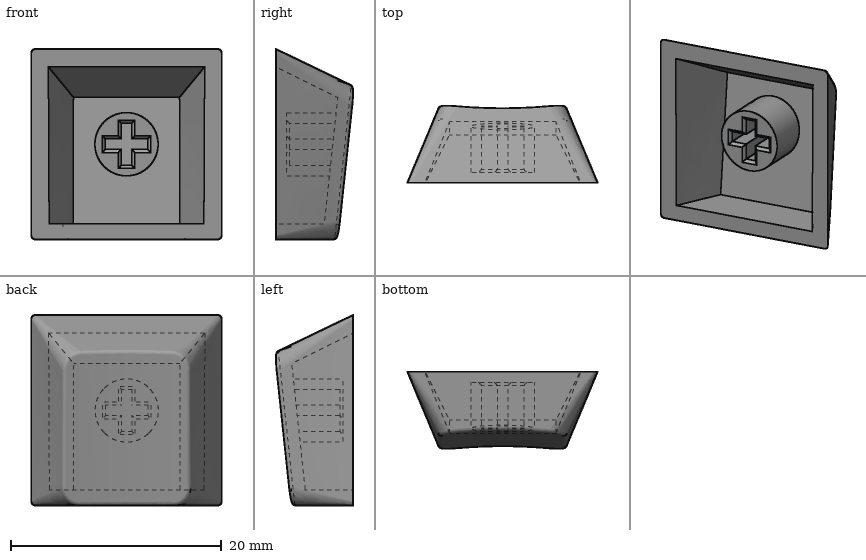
import cadquery as cq
import math

base_size = 18.1
base_corner_radius = 0.4
crown_half_width = 6.0
crown_corner_radius = 1.81
crown_top_z = 5.45
crown_top_y = 7.5
crown_tilt = 6.1
dish_depth = 0.38
edge_radius = 0.36

rim_top_half_width = 7.42
rim_bottom_half_width = 7.35
floor_top_half_width = 5.03
floor_bottom_half_width = 5.07
cavity_bottom_z = -7.53
cavity_rim_top_z = 7.35
cavity_floor_top_z = 4.45
floor_bottom_y = 4.58

stem_diameter = 6.01
stem_recess = 1.0
cross_span = 4.02
cross_arm_width = 1.0
cross_lead_in = 0.29

base_half = base_size / 2
lean = math.radians(crown_tilt)
tilt_slope = math.tan(lean)


def crown_y(z):
    """Height of the undished crown plane at a given Z."""
    return crown_top_y - (crown_top_z - z) * tilt_slope


def floor_y(z):
    """Depth of the cavity floor, parallel to the crown."""
    return floor_bottom_y + (z - cavity_bottom_z) * tilt_slope


def tilted_plane(y_at, z_low, z_high):
    """Inward-facing plane centred between two Z values and leaning back with the crown."""
    z_mid = (z_low + z_high) / 2
    return cq.Plane(
        origin=(0, y_at(z_mid), z_mid),
        xDir=(1, 0, 0),
        normal=(0, -math.cos(lean), math.sin(lean)),
    )


def tilted_length(z_low, z_high):
    return (z_high - z_low) / math.cos(lean)


def ruled_loft(low_plane, low_sketch, high_plane, high_sketch):
    return (
        cq.Workplane()
        .placeSketch(low_sketch.moved(low_plane.location), high_sketch.moved(high_plane.location))
        .loft(ruled=True)
    )


def rounded_rect(width, length, radius):
    return cq.Sketch().rect(width, length).vertices().fillet(radius)


def trapezoid(bottom_half_width, top_half_width, length):
    corners = [
        (-bottom_half_width, -length / 2),
        (bottom_half_width, -length / 2),
        (top_half_width, length / 2),
        (-top_half_width, length / 2),
    ]
    return cq.Sketch().polygon(corners + corners[:1])


def outer_shell():
    base = rounded_rect(base_size, base_size, base_corner_radius)
    crown_length = tilted_length(-base_half, crown_top_z)
    crown = rounded_rect(2 * crown_half_width, crown_length, crown_corner_radius)
    crown_plane = tilted_plane(crown_y, -base_half, crown_top_z)
    shell = ruled_loft(cq.Plane.XZ(), base, crown_plane, crown)

    dish_radius = (crown_half_width**2 + dish_depth**2) / (2 * dish_depth)
    along = cq.Vector(0, math.sin(lean), math.cos(lean))
    outward = cq.Vector(0, math.cos(lean), -math.sin(lean))
    axis_start = crown_plane.origin + outward * (dish_radius - dish_depth) - along * base_size
    dish = cq.Solid.makeCylinder(dish_radius, 2 * base_size, axis_start, along)
    shell = shell.cut(cq.Workplane(dish))
    return shell.faces(">Y").edges().fillet(edge_radius)


def cavity():
    rim_length = cavity_rim_top_z - cavity_bottom_z
    rim = trapezoid(rim_bottom_half_width, rim_top_half_width, rim_length)
    rim_plane = cq.Plane.XZ(origin=(0, 0, (cavity_rim_top_z + cavity_bottom_z) / 2))
    floor_length = tilted_length(cavity_bottom_z, cavity_floor_top_z)
    floor = trapezoid(floor_bottom_half_width, floor_top_half_width, floor_length)
    floor_plane = tilted_plane(floor_y, cavity_bottom_z, cavity_floor_top_z)
    return ruled_loft(rim_plane, rim, floor_plane, floor)


def cross(arm_growth):
    span = cross_span + 2 * arm_growth
    width = cross_arm_width + 2 * arm_growth
    return cq.Sketch().rect(span, width).rect(width, span).clean()


def stem_socket():
    mouth = cq.Plane.XZ(origin=(0, stem_recess, 0))
    deepest = floor_y(cavity_floor_top_z)
    straight = cq.Workplane(mouth).placeSketch(cross(0)).extrude(stem_recess - deepest)
    lead_in_end = cq.Plane.XZ(origin=(0, stem_recess + cross_lead_in, 0))
    lead_in = ruled_loft(mouth, cross(cross_lead_in), lead_in_end, cross(0))
    return straight.union(lead_in)


hollow = cavity()
stem = (
    cq.Workplane("XZ", origin=(0, stem_recess, 0))
    .circle(stem_diameter / 2)
    .extrude(-base_half)
    .cut(stem_socket())
)
result = outer_shell().cut(hollow.cut(stem))